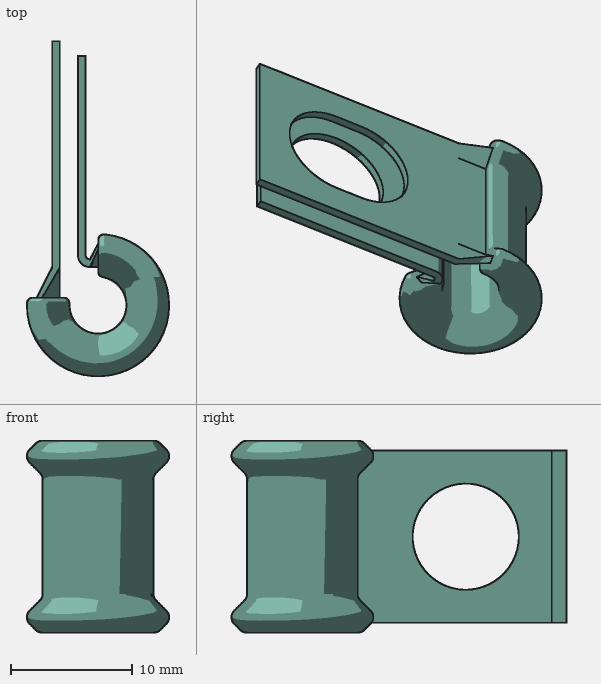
import cadquery as cq
import math

overall_height = 15.87
flange_radius = 5.885
bore_radius = 2.34
wall = 2.25
corner_radius = 0.75
bore_bend_radius = 1.0
ring_angle = 270
end_extension = 0.63
end_fillet = 0.5
pick_margin = 0.01

sheet = 0.65
leg_height = 14.24
long_leg_end = 21.815
short_leg_end = 20.6
short_leg_offset = -1.67
bend_inner_radius = 0.35
neck_height = 10.54
long_transition_end = 3.15

hole_diameter = 8.75
hole_center = 13.48
slot_length = 11.1

diagonal = math.sqrt(0.5)
half_height = overall_height / 2
half_leg = leg_height / 2
half_neck = neck_height / 2
barrel_radius = bore_radius + wall
middle_radius = bore_radius + wall / 2
sheet_inner = middle_radius - sheet / 2
sheet_outer = middle_radius + sheet / 2
bend_outer_radius = bend_inner_radius + sheet
bend_end = short_leg_offset + bend_outer_radius
cover = (wall - sheet) / 2

arc_spacing = (wall - 2 * corner_radius) * diagonal
top_arc_radius = flange_radius - corner_radius - arc_spacing
top_arc_z = half_height - corner_radius
tip_inner = (top_arc_radius, top_arc_z + corner_radius / diagonal)
tip_outer = (tip_inner[0] + wall * diagonal, tip_inner[1] - wall * diagonal)


def cushion_section():
    """Wall section at the -X side of the ring, in the XZ plane."""
    bore_bend_z = tip_inner[1] - (tip_inner[0] - bore_radius)
    barrel_bend_z = tip_outer[1] - (tip_outer[0] - barrel_radius)
    upper = [
        (-bore_radius, bore_bend_z),
        (-tip_inner[0], tip_inner[1]),
        (-tip_outer[0], tip_outer[1]),
        (-barrel_radius, barrel_bend_z),
    ]
    lower = [(x, -z) for x, z in reversed(upper)]
    outline = upper + lower
    outline.append(upper[0])
    section = cq.Sketch().polygon(outline)
    section.vertices("not(>X)").fillet(corner_radius).reset()
    section.vertices(">X").fillet(bore_bend_radius).reset()
    return section


def make_cushion():
    section = cushion_section()
    ring = cq.Workplane("XZ").placeSketch(section).revolve(ring_angle, (0, 0), (0, 1))
    extension = cq.Workplane("XZ").placeSketch(section).extrude(-end_extension)
    body = ring.union(extension)
    long_end = cq.selectors.BoxSelector(
        (-flange_radius, end_extension - pick_margin, -half_height),
        (0, end_extension + pick_margin, half_height),
    )
    short_end = cq.selectors.BoxSelector(
        (-pick_margin, bore_radius, -half_height),
        (pick_margin, flange_radius, half_height),
    )
    end_faces = body.faces(long_end).add(body.faces(short_end))
    return end_faces.edges().fillet(end_fillet)


def corner_transition(length):
    """Sheet corner changing from flat to the 45 degree flare over a length.

    Built in the XZ plane with the flat end at Y = length and the flared end at Y = 0.
    """
    flat = [
        (-sheet_inner, half_neck),
        (-sheet_outer, half_neck),
        (-sheet_outer, half_leg),
        (-sheet_inner, half_leg),
    ]
    flare_inner_x = tip_inner[0]
    flare_inner_z = tip_inner[1] - 2 * cover * diagonal
    sheet_step = sheet * diagonal
    flared = [
        (-sheet_inner, half_neck),
        (-sheet_outer, half_neck),
        (-flare_inner_x - sheet_step, flare_inner_z - sheet_step),
        (-flare_inner_x, flare_inner_z),
    ]
    upper = (
        cq.Workplane("XZ")
        .polyline(flared).close()
        .workplane(offset=-length)
        .polyline(flat).close()
        .loft(ruled=True)
    )
    return upper.union(upper.mirror("XY"))


def centered_block(x_min, x_max, y_min, y_max, height):
    """Box between X and Y limits, centred on Z = 0."""
    corner = cq.Workplane("XY", origin=(x_min, y_min, 0))
    return corner.box(x_max - x_min, y_max - y_min, height, centered=(False, False, True))


def make_long_leg():
    plate = centered_block(-sheet_outer, -sheet_inner, long_transition_end, long_leg_end, leg_height)
    neck = centered_block(-sheet_outer, -sheet_inner, end_extension, long_transition_end, neck_height)
    corners = corner_transition(long_transition_end - end_extension)
    slot = (
        cq.Workplane("YZ", origin=(-middle_radius, hole_center, 0))
        .slot2D(slot_length, hole_diameter)
        .extrude(sheet, both=True)
    )
    return plate.union(neck).union(corners.translate((0, end_extension, 0))).cut(slot)


def make_short_leg():
    inner_face = short_leg_offset + sheet
    bend_center_y = sheet_inner + bend_outer_radius
    bent_plate = (
        cq.Workplane("XY", origin=(0, 0, -half_leg))
        .moveTo(short_leg_offset, short_leg_end)
        .lineTo(short_leg_offset, bend_center_y)
        .threePointArc(
            (bend_end - bend_outer_radius * diagonal, bend_center_y - bend_outer_radius * diagonal),
            (bend_end, sheet_inner),
        )
        .lineTo(bend_end, sheet_outer)
        .threePointArc(
            (bend_end - bend_inner_radius * diagonal, bend_center_y - bend_inner_radius * diagonal),
            (inner_face, bend_center_y),
        )
        .lineTo(inner_face, short_leg_end)
        .close()
        .extrude(leg_height)
    )
    neck = centered_block(bend_end, 0, sheet_inner, sheet_outer, neck_height)
    corners = (
        corner_transition(-bend_end)
        .mirror("YZ")
        .rotate((0, 0, 0), (0, 0, 1), 90)
    )
    hole = (
        cq.Workplane("YZ", origin=(short_leg_offset + sheet / 2, hole_center, 0))
        .circle(hole_diameter / 2)
        .extrude(sheet, both=True)
    )
    return bent_plate.union(neck).union(corners).cut(hole)


result = make_cushion().union(make_long_leg()).union(make_short_leg())